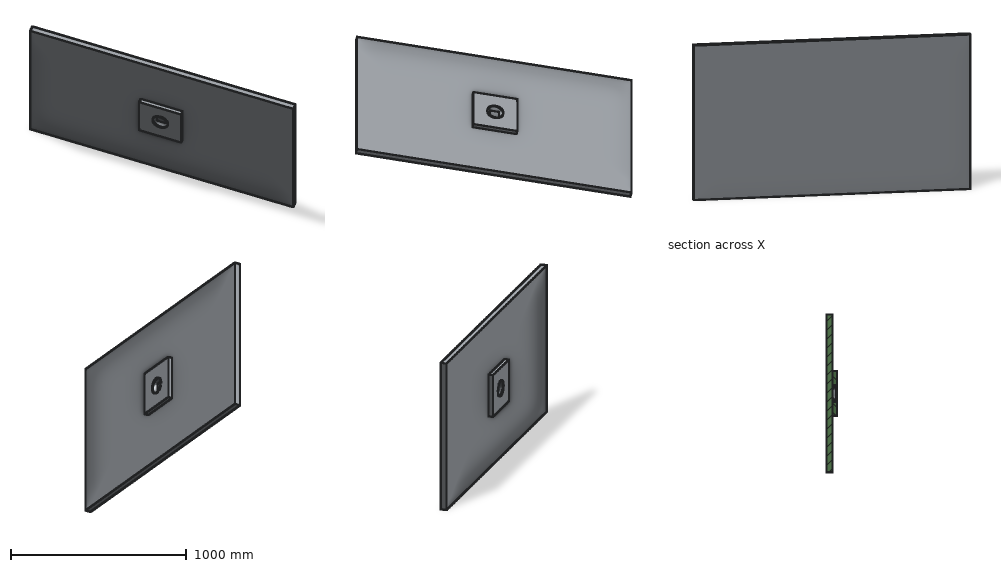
import cadquery as cq
import math

panel_width = 1600.0
panel_height = 900.0
total_depth = 60.0

pad_side = 256.0
pad_thickness = 25.0
panel_thickness = total_depth - pad_thickness

mouth_diameter = 93.0
mouth_depth = 6.0
throat_side = 55.0
throat_corner_radius = 6.0
taper_length = pad_thickness - mouth_depth


def rounded_square(sketch, half_side, corner_radius):
    """Closed outline of eight segments: four sides and four corner arcs."""
    straight = half_side - corner_radius
    bulge = straight + corner_radius / math.sqrt(2)
    return (
        sketch.moveTo(-straight, -half_side)
        .lineTo(straight, -half_side)
        .threePointArc((bulge, -bulge), (half_side, -straight))
        .lineTo(half_side, straight)
        .threePointArc((bulge, bulge), (straight, half_side))
        .lineTo(-straight, half_side)
        .threePointArc((-bulge, bulge), (-half_side, straight))
        .lineTo(-half_side, -straight)
        .threePointArc((-bulge, -bulge), (-straight, -half_side))
        .close()
    )


def split_circle(sketch, radius, corner_half_angle):
    """Circle of eight arcs, long ones facing the square's sides, short ones its corners."""

    def point(angle):
        return (radius * math.cos(math.radians(angle)), radius * math.sin(math.radians(angle)))

    sketch = sketch.moveTo(*point(225 + corner_half_angle))
    for side_angle in (270, 360, 450, 540):
        corner_angle = side_angle + 45
        sketch = sketch.threePointArc(point(side_angle), point(corner_angle - corner_half_angle))
        sketch = sketch.threePointArc(point(corner_angle), point(corner_angle + corner_half_angle))
    return sketch.close()


def make_taper():
    """Solid of the tapered opening, from the panel face out to the round mouth."""
    half_side = throat_side / 2
    corner_half_angle = 45 - math.degrees(math.atan2(half_side - throat_corner_radius, half_side))
    throat = rounded_square(cq.Workplane("XZ"), half_side, throat_corner_radius)
    mouth_plane = throat.workplane(offset=taper_length)
    return split_circle(mouth_plane, mouth_diameter / 2, corner_half_angle).loft(ruled=True)


def make_panel():
    """Plain rectangular sheet behind the pad."""
    return cq.Workplane("XZ").rect(panel_width, panel_height).extrude(-panel_thickness)


def make_pad():
    """Square plate with a round hole through its centre."""
    plate = cq.Workplane("XZ").rect(pad_side, pad_side).extrude(pad_thickness)
    hole = cq.Workplane("XZ").circle(mouth_diameter / 2).extrude(pad_thickness)
    return plate.cut(hole)


def make_insert():
    """Round insert at the bottom of the pad's hole, hollowed by the taper."""
    disc = cq.Workplane("XZ").circle(mouth_diameter / 2).extrude(taper_length)
    return disc.cut(make_taper())


panel = make_panel()
pad = make_pad()
insert = make_insert()

result = cq.Compound.makeCompound([panel.val(), *pad.solids().vals(), *insert.solids().vals()])